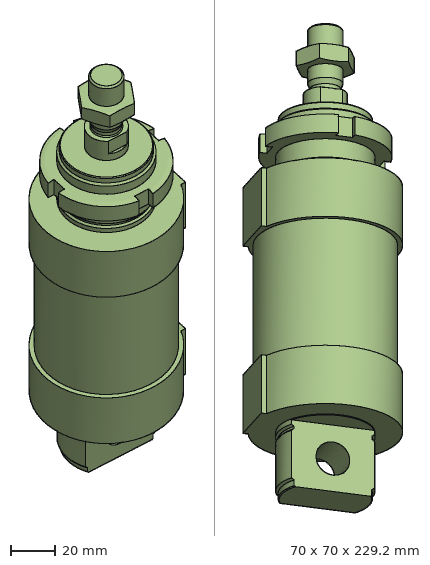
import cadquery as cq
import math

TOTAL_HEIGHT = 229.2

CAP_DIA = 70.0
CAP_HEIGHT = 28.5
TUBE_DIA = 65.3
TUBE_HEIGHT = 62.8
LOWER_CAP_Z = 32.8
TUBE_Z = LOWER_CAP_Z + CAP_HEIGHT
UPPER_CAP_Z = TUBE_Z + TUBE_HEIGHT
CAP_TOP_Z = UPPER_CAP_Z + CAP_HEIGHT
PAD_WIDTH = 26.0

SPIGOT_DIA = 45.0
SPIGOT_TIP_DIA = 42.6
SPIGOT_TIP_HEIGHT = 3.2
SPIGOT_TAPER = 1.0
SPIGOT_END_CHAMFER = 0.5
GROOVE_DIA = 42.9
GROOVE_MOUTH = 3.0
GROOVE_FLOOR = 1.1
GROOVE_OFFSET = 2.5
NECK_TOP_Z = 185.5

TONGUE_THICKNESS = 21.3
TONGUE_SHOULDER = 0.5
EYE_DIA = 16.0
EYE_DROP = 16.7

ROD_DIA = 20.0
ROD_SHOULDER_Z = 197.3
ROD_FLAT_WIDTH = 17.0
ROD_FLAT_HEIGHT = 7.8
THREAD_DIA = 16.0
THREAD_END_Z = 202.5
THREAD_CHAMFER = 1.0
RELIEF_DIA = 14.0
RELIEF_ROOT_DIA = 15.0
RELIEF_ROOT_HEIGHT = 0.7

HEX_FLATS = 24.0
HEX_HEIGHT = 8.0
HEX_TOP_Z = 217.3
HEX_CHAMFER_ANGLE = 15.0

RING_DIA = 60.3
RING_HEIGHT = 9.5
RING_Z = 166.9
RING_CHAMFER_WIDTH = 2.3
RING_CHAMFER_HEIGHT = 0.5
RING_SLOT_WIDTH = 7.8
RING_SLOT_FLOOR = 26.5
RING_SLOT_COUNT = 4


def cylinder(diameter, z, height):
    return cq.Workplane("XY").workplane(offset=z).circle(diameter / 2).extrude(height)


def revolved(profile):
    """Solid of revolution about Z from (radius, z) points."""
    return cq.Workplane("XZ").polyline(profile).close().revolve(360, (0, 0), (0, 1))


def spigot(length):
    """Threaded spigot standing on z = 0, with a groove near its root and a stepped tip."""
    outer = SPIGOT_DIA / 2
    tip = SPIGOT_TIP_DIA / 2
    groove = GROOVE_DIA / 2
    groove_middle = GROOVE_OFFSET + GROOVE_MOUTH / 2
    tip_start = length - SPIGOT_TIP_HEIGHT
    return revolved([
        (0, 0),
        (outer, 0),
        (outer, GROOVE_OFFSET),
        (groove, groove_middle - GROOVE_FLOOR / 2),
        (groove, groove_middle + GROOVE_FLOOR / 2),
        (outer, GROOVE_OFFSET + GROOVE_MOUTH),
        (outer, tip_start - SPIGOT_TAPER),
        (tip, tip_start),
        (tip, length - SPIGOT_END_CHAMFER),
        (tip - SPIGOT_END_CHAMFER, length),
        (0, length),
    ])


def cap(z):
    """End cap with a flat port pad on its +Y side."""
    pad = (
        cq.Workplane("XY", origin=(0, 0, z))
        .rect(PAD_WIDTH, CAP_DIA / 2, centered=(True, False))
        .extrude(CAP_HEIGHT)
    )
    return cylinder(CAP_DIA, z, CAP_HEIGHT).union(pad)


def clevis():
    """Lower spigot milled to a flat tongue with a cross hole."""
    blank = spigot(LOWER_CAP_Z).mirror("XY").translate((0, 0, LOWER_CAP_Z))
    tongue_top = LOWER_CAP_Z - TONGUE_SHOULDER
    tongue_envelope = (
        cq.Workplane("XY")
        .rect(TONGUE_THICKNESS, SPIGOT_DIA)
        .extrude(tongue_top)
        .union(cylinder(SPIGOT_DIA, tongue_top, TONGUE_SHOULDER))
    )
    eye = (
        cq.Workplane("YZ")
        .center(0, LOWER_CAP_Z - EYE_DROP)
        .circle(EYE_DIA / 2)
        .extrude(TONGUE_THICKNESS, both=True)
    )
    return blank.intersect(tongue_envelope).cut(eye)


def make_housing():
    neck = spigot(NECK_TOP_Z - CAP_TOP_Z).translate((0, 0, CAP_TOP_Z))
    return (
        cylinder(TUBE_DIA, TUBE_Z, TUBE_HEIGHT)
        .union(cap(LOWER_CAP_Z))
        .union(cap(UPPER_CAP_Z))
        .union(neck)
        .union(clevis())
    )


def make_rod():
    """Rod standing on the neck face: wrench flats, thread relief and threaded end."""
    thread = THREAD_DIA / 2
    relief_mid_z = (ROD_SHOULDER_Z + THREAD_END_Z) / 2
    blank = revolved([
        (0, NECK_TOP_Z),
        (ROD_DIA / 2, NECK_TOP_Z),
        (ROD_DIA / 2, ROD_SHOULDER_Z),
        (RELIEF_ROOT_DIA / 2, ROD_SHOULDER_Z),
        (RELIEF_DIA / 2, ROD_SHOULDER_Z + RELIEF_ROOT_HEIGHT),
        (RELIEF_DIA / 2, relief_mid_z),
        (thread, THREAD_END_Z),
        (thread, TOTAL_HEIGHT - THREAD_CHAMFER),
        (thread - THREAD_CHAMFER, TOTAL_HEIGHT),
        (0, TOTAL_HEIGHT),
    ])
    for side in (-1, 1):
        flat_cut = cq.Workplane("XY").box(ROD_DIA, ROD_DIA, ROD_FLAT_HEIGHT).translate((
            side * (ROD_FLAT_WIDTH + ROD_DIA) / 2,
            0,
            ROD_SHOULDER_Z - ROD_FLAT_HEIGHT / 2,
        ))
        blank = blank.cut(flat_cut)
    return blank


def make_hex_nut():
    """Hexagon with flats facing X and corners bevelled at both ends."""
    corner_radius = HEX_FLATS / 2 / math.cos(math.radians(30))
    bevel_radius = HEX_FLATS / 2
    bevel_height = (corner_radius - bevel_radius) * math.tan(math.radians(HEX_CHAMFER_ANGLE))
    bottom_z = HEX_TOP_Z - HEX_HEIGHT
    bevel_envelope = revolved([
        (0, bottom_z),
        (bevel_radius, bottom_z),
        (corner_radius, bottom_z + bevel_height),
        (corner_radius, HEX_TOP_Z - bevel_height),
        (bevel_radius, HEX_TOP_Z),
        (0, HEX_TOP_Z),
    ])
    return (
        cq.Workplane("XY", origin=(0, 0, bottom_z))
        .transformed(rotate=(0, 0, 90))
        .polygon(6, 2 * corner_radius)
        .extrude(HEX_HEIGHT)
        .intersect(bevel_envelope)
        .cut(cylinder(THREAD_DIA, bottom_z, HEX_HEIGHT))
    )


def make_ring_nut():
    """Round nut with a bevelled top rim and spanner slots around its edge."""
    bore = SPIGOT_DIA / 2
    outer = RING_DIA / 2
    top_z = RING_Z + RING_HEIGHT
    ring = revolved([
        (bore, RING_Z),
        (outer, RING_Z),
        (outer, top_z - RING_CHAMFER_HEIGHT),
        (outer - RING_CHAMFER_WIDTH, top_z),
        (bore, top_z),
    ])
    slot = (
        cq.Workplane("XY", origin=(RING_SLOT_FLOOR, 0, RING_Z))
        .rect(outer, RING_SLOT_WIDTH, centered=(False, True))
        .extrude(RING_HEIGHT)
    )
    for index in range(RING_SLOT_COUNT):
        ring = ring.cut(slot.rotate((0, 0, 0), (0, 0, 1), index * 360 / RING_SLOT_COUNT))
    return ring


housing = make_housing()
rod = make_rod()
hex_nut = make_hex_nut()
ring_nut = make_ring_nut()

result = cq.Compound.makeCompound([housing.val(), rod.val(), hex_nut.val(), ring_nut.val()])